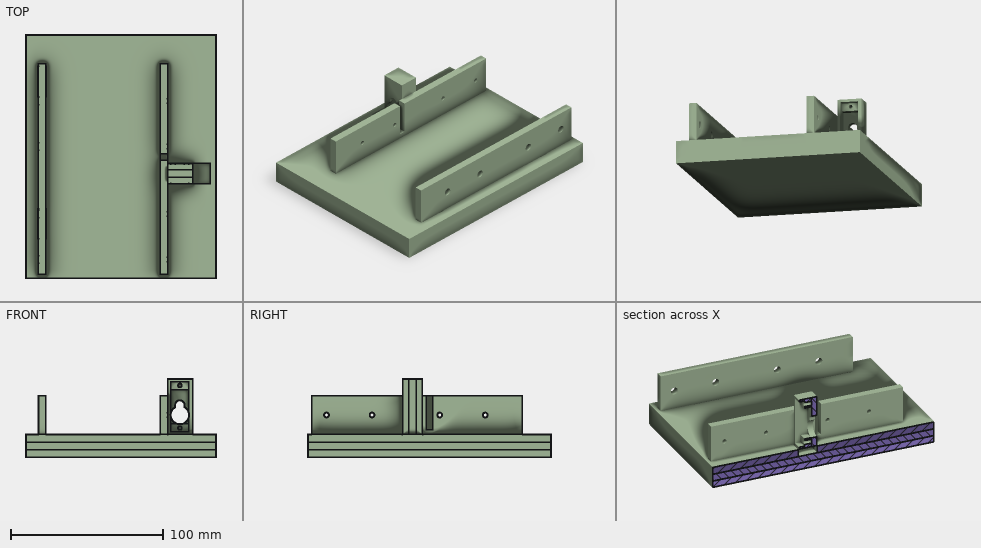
import cadquery as cq

BASE_LENGTH = 160.0
BASE_WIDTH = 125.0
PLATE_COUNT = 3
BASE_TOP = 15.0
SHEET = BASE_TOP / PLATE_COUNT

WALL_LENGTH = 138.5
WALL_HEIGHT = 25.6
WALL_FRONT = 2.5
LEFT_WALL_X = 8.2
RIGHT_WALL_X = 88.2
WALL_HOLE_FRONTS = (12.3, 86.7)
WALL_HOLE_PITCH = 30.0
LEFT_HOLE_DIAMETER = 5.0
RIGHT_HOLE_DIAMETER = 3.0
GAP_FRONT = 77.8
GAP_WIDTH = 4.3
GAP_FLOOR = 3.2

CLEARANCE = 0.24
SLOT_LENGTH = 20.0
SLOT_FRONTS = (26.0, 119.5)
POCKET_FRONT = 62.0
POCKET_RIGHT = 121.3

BRACKET_X = RIGHT_WALL_X + SHEET
BRACKET_WIDTH = 16.5
BRACKET_HEIGHT = 36.5
BRACKET_FRONT = POCKET_FRONT + CLEARANCE
PANEL_THICKNESS = 4.0
SPACER_FRONT = BRACKET_FRONT + PANEL_THICKNESS
BACK_PANEL_FRONT = SPACER_FRONT + SHEET
BRACKET_BACK = BACK_PANEL_FRONT + PANEL_THICKNESS
OPENINGS_OFFSET = 8.0
OPENINGS_X = BRACKET_X + OPENINGS_OFFSET
BRACKET_CENTER_Z = BASE_TOP + BRACKET_HEIGHT / 2
WINDOW_WIDTH = 12.0
FRAME_WINDOW_HEIGHT = 33.0
SPACER_WINDOW_HEIGHT = 22.4
SCREW_DIAMETER = 2.5
SCREW_SPACING = 28.0
KEYHOLE_DIAMETER = 12.0
KEYHOLE_NECK_WIDTH = 6.0
KEYHOLE_Z = BASE_TOP + 12.8
KEYHOLE_NECK_RISE = 6.5


def block(x, y, z, length_x, length_y, length_z):
    """Box with its lowest corner at (x, y, z)."""
    return cq.Workplane("XY").box(length_x, length_y, length_z, centered=False).translate((x, y, z))


def make_plate(level):
    return block(0, 0, level * SHEET, BASE_WIDTH, BASE_LENGTH, SHEET)


def make_top_plate():
    """Plate with two slots below the left wall and a pocket below and to the right of the bracket."""
    level = PLATE_COUNT - 1
    plate = make_plate(level)
    bottom = level * SHEET
    for slot_front in SLOT_FRONTS:
        slot_x = LEFT_WALL_X - CLEARANCE
        plate = plate.cut(block(slot_x, slot_front, bottom, SHEET + 2 * CLEARANCE, SLOT_LENGTH, SHEET))
    pocket_width = BRACKET_BACK + CLEARANCE - POCKET_FRONT
    return plate.cut(
        block(BRACKET_X, POCKET_FRONT, bottom, POCKET_RIGHT - BRACKET_X, pocket_width, SHEET)
    )


def make_wall(wall_x, hole_diameter):
    """Upright wall with two pairs of holes at half its height."""
    wall = block(wall_x, WALL_FRONT, BASE_TOP, SHEET, WALL_LENGTH, WALL_HEIGHT)
    hole_z = BASE_TOP + WALL_HEIGHT / 2
    centers = [(front + step, hole_z) for front in WALL_HOLE_FRONTS for step in (0, WALL_HOLE_PITCH)]
    holes = (
        cq.Workplane("YZ", origin=(wall_x, 0, 0))
        .pushPoints(centers)
        .circle(hole_diameter / 2)
        .extrude(SHEET)
    )
    return wall.cut(holes)


def make_right_wall():
    gap_height = WALL_HEIGHT - GAP_FLOOR
    gap = block(RIGHT_WALL_X, GAP_FRONT, BASE_TOP + GAP_FLOOR, SHEET, GAP_WIDTH, gap_height)
    return make_wall(RIGHT_WALL_X, RIGHT_HOLE_DIAMETER).cut(gap)


def make_bracket_layer(front_y, thickness):
    return block(BRACKET_X, front_y, BASE_TOP, BRACKET_WIDTH, thickness, BRACKET_HEIGHT)


def opening_plane(back_y, center_z=BRACKET_CENTER_Z):
    """Plane at a layer's back face, on the openings' center line and facing the front."""
    return cq.Workplane("XZ", origin=(OPENINGS_X, back_y, center_z))


def make_front_frame():
    window = opening_plane(SPACER_FRONT).rect(WINDOW_WIDTH, FRAME_WINDOW_HEIGHT).extrude(PANEL_THICKNESS)
    return make_bracket_layer(BRACKET_FRONT, PANEL_THICKNESS).cut(window)


def make_spacer():
    window = opening_plane(BACK_PANEL_FRONT).rect(WINDOW_WIDTH, SPACER_WINDOW_HEIGHT).extrude(SHEET)
    screws = (
        opening_plane(BACK_PANEL_FRONT)
        .rarray(1.6, SCREW_SPACING, 1, 2)
        .circle(SCREW_DIAMETER / 2)
        .extrude(SHEET)
    )
    return make_bracket_layer(SPACER_FRONT, SHEET).cut(window).cut(screws)


def make_back_panel():
    """Panel with a keyhole: a large circle with a round-ended neck above it."""
    circle_plane = opening_plane(BRACKET_BACK, KEYHOLE_Z)
    large = circle_plane.circle(KEYHOLE_DIAMETER / 2).extrude(PANEL_THICKNESS)
    neck = (
        circle_plane.center(0, KEYHOLE_NECK_RISE / 2)
        .slot2D(KEYHOLE_NECK_RISE + KEYHOLE_NECK_WIDTH, KEYHOLE_NECK_WIDTH, 90)
        .extrude(PANEL_THICKNESS)
    )
    return make_bracket_layer(BACK_PANEL_FRONT, PANEL_THICKNESS).cut(large).cut(neck)


lower_plates = [make_plate(level) for level in range(PLATE_COUNT - 1)]
top_plate = make_top_plate()
left_wall = make_wall(LEFT_WALL_X, LEFT_HOLE_DIAMETER)
right_wall = make_right_wall()
front_frame = make_front_frame()
spacer = make_spacer()
back_panel = make_back_panel()

result = cq.Compound.makeCompound(
    [
        *[plate.val() for plate in lower_plates],
        top_plate.val(),
        left_wall.val(),
        right_wall.val(),
        front_frame.val(),
        spacer.val(),
        back_panel.val(),
    ]
)